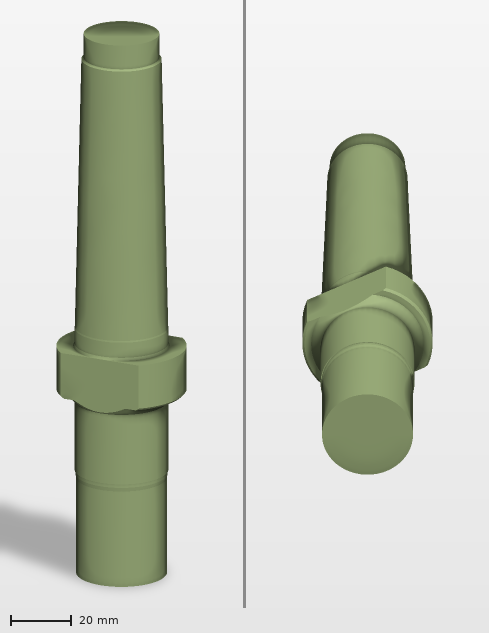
import cadquery as cq

total_height = 187.8
lower_pin_top = 33.2
relief_bottom = 34.5
journal_bottom = 35.9
flange_cone_bottom = 60.1
flange_bottom = 63.3
flange_top = 79.0
neck_top = 85.3
taper_bottom = 85.8
taper_top = 179.0
tip_bottom = 179.5

lower_pin_diameter = 30.0
relief_diameter = 30.5
journal_diameter = 31.0
flange_cone_diameter = 37.2
flange_diameter = 43.0
neck_diameter = 31.0
taper_large_diameter = 30.8
taper_small_diameter = 26.5
tip_diameter = 25.0

flange_width = 32.0
flange_bevel = 0.8
neck_flare_diameter = 32.0
neck_flare_height = 1.0

profile = [
    (0, 0),
    (lower_pin_diameter, 0),
    (lower_pin_diameter, lower_pin_top),
    (relief_diameter, relief_bottom),
    (relief_diameter, journal_bottom),
    (journal_diameter, journal_bottom),
    (journal_diameter, flange_cone_bottom),
    (flange_cone_diameter, flange_bottom),
    (flange_diameter - 2 * flange_bevel, flange_bottom),
    (flange_diameter, flange_bottom + flange_bevel),
    (flange_diameter, flange_top),
    (neck_flare_diameter, flange_top),
    (neck_diameter, flange_top + neck_flare_height),
    (neck_diameter, neck_top),
    (taper_large_diameter, taper_bottom),
    (taper_small_diameter, taper_top),
    (tip_diameter, tip_bottom),
    (tip_diameter, total_height),
    (0, total_height),
]
body = (
    cq.Workplane("XZ")
    .polyline([(diameter / 2, height) for diameter, height in profile])
    .close()
    .revolve(360, (0, 0, 0), (0, 1, 0))
)

flats_envelope = cq.Workplane("XY").box(
    flange_diameter, flange_width, total_height, centered=(True, True, False)
)
result = body.intersect(flats_envelope)